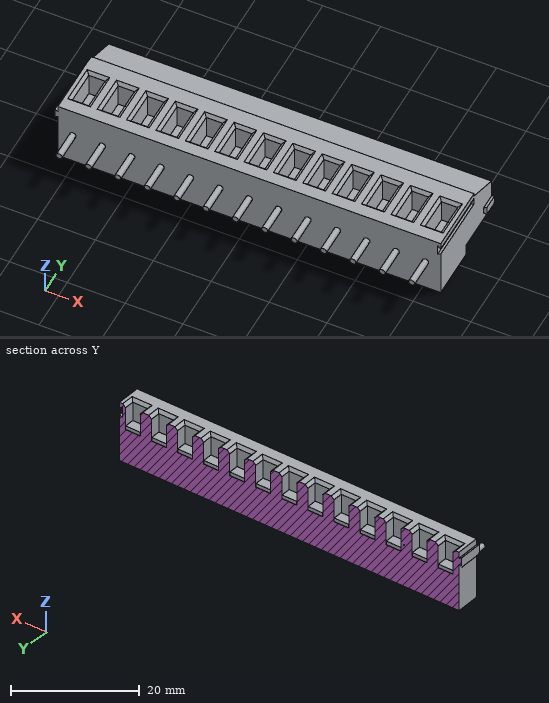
import cadquery as cq


total_length = 67.25
total_depth = 23.0
body_height = 11.2

rail_depth = 0.55
tongue_depth = 0.55
body_length = total_length - rail_depth - tongue_depth
body_depth = 18.0
left_x = -body_length / 2
right_x = body_length / 2

top_depth = 11.8
top_step = 0.55
back_top_drop = 3.15
foot_depth = 9.1
foot_height = 2.1

pole_count = 13
pole_span = 60.95
pole_pitch = pole_span / (pole_count - 1)

pin_diameter = 1.1
pin_length = total_depth - body_depth
pin_height = 5.9

pocket_width = 3.9
pocket_length = 6.85
pocket_front = 2.15
pocket_bevel = 0.55
pocket_depth = 4.7
shelf_depth = 4.05
shelf_edge = 4.5

rail_height = 9.5
rail_root_width = 1.2
rail_outer_width = 1.8

tongue_height = 4.1
tongue_root_width = 1.15
tongue_outer_width = 1.7
tongue_groove_opening = 0.9
tongue_run = 2.8


def make_body():
    """Stepped side profile, drawn in Y and Z and swept along the row."""
    profile = [
        (0, 0),
        (foot_depth, 0),
        (foot_depth, foot_height),
        (body_depth, foot_height),
        (body_depth, body_height - back_top_drop),
        (top_depth, body_height - top_step),
        (top_depth, body_height),
        (0, body_height),
    ]
    return (
        cq.Workplane("YZ", origin=(left_x, 0, 0))
        .polyline(profile)
        .close()
        .extrude(body_length)
    )


def make_dovetail(root_x, tip_x, height, root_width, tip_width, y_start, run):
    """Dovetail bar along +Y whose section widens from root_x to tip_x."""
    section = [
        (root_x, height - root_width / 2),
        (tip_x, height - tip_width / 2),
        (tip_x, height + tip_width / 2),
        (root_x, height + root_width / 2),
    ]
    return (
        cq.Workplane("XZ", origin=(0, y_start, 0))
        .polyline(section)
        .close()
        .extrude(-run)
    )


def make_rail(face_x):
    """Front dovetail that stands out towards -X from the plane at face_x."""
    return make_dovetail(
        face_x, face_x - rail_depth, rail_height, rail_root_width, rail_outer_width, 0, top_depth
    )


def make_tongue(face_x, root_width):
    """Rear dovetail that reaches towards +X from the plane at face_x."""
    return make_dovetail(
        face_x,
        face_x + tongue_depth,
        tongue_height,
        root_width,
        tongue_outer_width,
        body_depth - tongue_run,
        tongue_run,
    )


def make_well(center_x, y_start, width, length, depth):
    """Straight-sided block reaching down from the top face."""
    return (
        cq.Workplane("XY", origin=(center_x, y_start, body_height - depth))
        .box(width, length, depth, centered=(True, False, False))
    )


def make_pocket(center_x):
    """Bevelled rectangular pocket with a shallower shelf along its front."""
    inner_width = pocket_width - 2 * pocket_bevel
    inner_length = pocket_length - 2 * pocket_bevel
    inner_front = pocket_front + pocket_bevel
    shelf_length = shelf_edge - inner_front
    center_y = pocket_front + pocket_length / 2

    mouth = (
        cq.Workplane("XY", origin=(center_x, center_y, body_height))
        .rect(pocket_width, pocket_length)
        .workplane(offset=-pocket_bevel)
        .rect(inner_width, inner_length)
        .loft()
    )
    front_well = make_well(center_x, inner_front, inner_width, shelf_length, shelf_depth)
    rear_well = make_well(
        center_x, shelf_edge, inner_width, inner_length - shelf_length, pocket_depth
    )
    return mouth.union(front_well).union(rear_well)


def make_pin(center_x):
    """Round contact pin standing out of the pin face."""
    return (
        cq.Workplane("XZ", origin=(center_x, 0, pin_height))
        .circle(pin_diameter / 2)
        .extrude(pin_length)
    )


result = (
    make_body()
    .union(make_rail(left_x))
    .cut(make_rail(right_x))
    .union(make_tongue(right_x, tongue_root_width))
    .cut(make_tongue(left_x, tongue_groove_opening))
)

for pole in range(pole_count):
    pole_x = -pole_span / 2 + pole * pole_pitch
    result = result.cut(make_pocket(pole_x)).union(make_pin(pole_x))